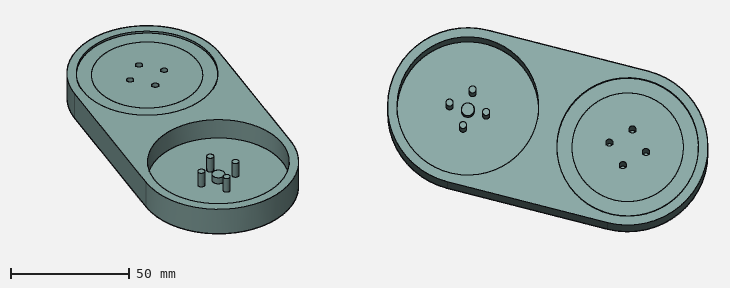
import cadquery as cq

base_length = 138.0
base_width = 68.0
base_height = 13.0
pocket_diameter = 60.0
pocket_depth = 9.7
pocket_floor = base_height - pocket_depth
pocket_x = (base_length - base_width) / 2

pin_diameter = 3.0
pin_height = 7.2
pin_circle_radius = 8.0
pin_count = 4
boss_diameter = 5.5
boss_height = 3.2

ring_diameter = 59.9
disc_diameter = 47.2
insert_recess = 1.0
insert_height = pocket_depth - insert_recess

def floor_plane(x):
    """Workplane on a pocket floor, centred on the pocket at x."""
    return cq.Workplane("XY", origin=(x, 0, pocket_floor))

def pin_pattern(x, height):
    """Four cylinders on the pin circle, used as pins or to cut their holes."""
    return (
        floor_plane(x)
        .polarArray(pin_circle_radius, 0, 360, pin_count)
        .circle(pin_diameter / 2)
        .extrude(height)
    )

def make_base():
    plate = cq.Workplane("XY").slot2D(base_length, base_width).extrude(base_height)
    for x in (-pocket_x, pocket_x):
        pocket = floor_plane(x).circle(pocket_diameter / 2).extrude(pocket_depth)
        plate = plate.cut(pocket)
    boss = floor_plane(pocket_x).circle(boss_diameter / 2).extrude(boss_height)
    return plate.union(boss).union(pin_pattern(pocket_x, pin_height))

def make_ring():
    return (
        floor_plane(-pocket_x)
        .circle(ring_diameter / 2)
        .circle(disc_diameter / 2)
        .extrude(insert_height)
    )

def make_disc():
    blank = floor_plane(-pocket_x).circle(disc_diameter / 2).extrude(insert_height)
    return blank.cut(pin_pattern(-pocket_x, insert_height))

base = make_base()
ring = make_ring()
disc = make_disc()

result = cq.Compound.makeCompound([base.solids().val(), ring.val(), disc.solids().val()])